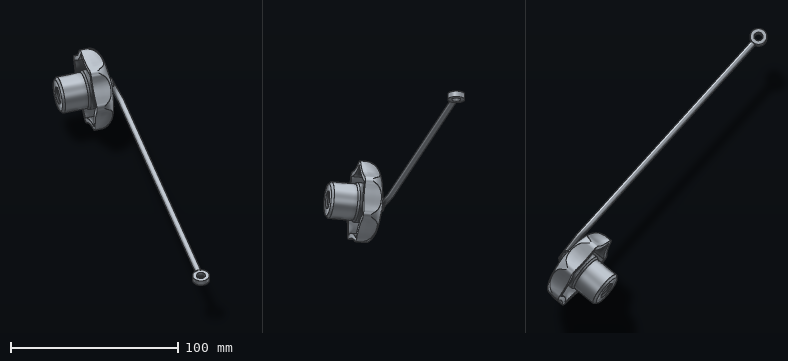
import cadquery as cq
import math

LOBE_COUNT = 7
LOBE_RADIUS = 4.2
LOBE_CENTRE_RADIUS = 20.8
SCALLOP_DEPTH_RADIUS = 21.7
WALL = 3.0
CAVITY_DEPTH = 8.8
DOME_HEIGHT = 15.0
DOME_RADIUS = 63.1
SHOULDER_RADIUS = 8.5

HUB_DIAMETER = 22.0
HUB_ROOT_DIAMETER = 24.0
HUB_LENGTH = 17.3
HUB_ROOT_TAPER = 1.3
HUB_CHAMFER = 1.5
BORE_DIAMETER = 8.5
BORE_MOUTH_DIAMETER = 10.5
BORE_DEPTH = 21.0

TOTAL_LENGTH = 210.5
CORD_DIAMETER = 3.5
EYE_DIAMETER = 10.0
EYE_HOLE_DIAMETER = 5.3
CORD_TOP = 22.7
BEND_X = 15.2
PIN_DIAMETER = 8.0
PIN_TOP = 16.8
CORD_START_X = -3.0
CORD_TILT = 4.5

half_pitch = math.pi / LOBE_COUNT
knob_radius = LOBE_CENTRE_RADIUS + LOBE_RADIUS
scallop_radius = (
    SCALLOP_DEPTH_RADIUS**2 + LOBE_CENTRE_RADIUS**2 - LOBE_RADIUS**2
    - 2 * SCALLOP_DEPTH_RADIUS * LOBE_CENTRE_RADIUS * math.cos(half_pitch)
) / (2 * (LOBE_RADIUS + LOBE_CENTRE_RADIUS * math.cos(half_pitch) - SCALLOP_DEPTH_RADIUS))
scallop_centre_radius = SCALLOP_DEPTH_RADIUS + scallop_radius
widest_lobe_angle = -math.pi / 2 + 2 * half_pitch * round(LOBE_COUNT / 4)
knob_half_width = LOBE_CENTRE_RADIUS * math.cos(widest_lobe_angle) + LOBE_RADIUS
eye_x = TOTAL_LENGTH - knob_half_width - EYE_DIAMETER / 2
cord_y = CORD_TOP - EYE_DIAMETER / 2


def polar(radius, angle):
    return (radius * math.cos(angle), radius * math.sin(angle))


def lobe_angle(index):
    return -math.pi / 2 + 2 * half_pitch * index


def y_cylinder(diameter, start, end):
    """Cylinder on the knob axis between two Y positions."""
    return cq.Workplane("XZ", origin=(0, end, 0)).circle(diameter / 2).extrude(end - start)


def star_outline(plane):
    """Rounded lobes joined by tangent concave scallops."""
    to_tangent = LOBE_RADIUS / (LOBE_RADIUS + scallop_radius)

    def tangent_point(index, side):
        lobe = polar(LOBE_CENTRE_RADIUS, lobe_angle(index))
        scallop = polar(scallop_centre_radius, lobe_angle(index) + side * half_pitch)
        return tuple(a + (b - a) * to_tangent for a, b in zip(lobe, scallop))

    outline = plane.moveTo(*tangent_point(0, -1))
    for i in range(LOBE_COUNT):
        scallop_middle = polar(SCALLOP_DEPTH_RADIUS, lobe_angle(i) + half_pitch)
        outline = outline.threePointArc(polar(knob_radius, lobe_angle(i)), tangent_point(i, 1))
        outline = outline.threePointArc(scallop_middle, tangent_point(i + 1, -1))
    return outline.close()


def cavity_outline(plane):
    """Scallops moved inwards by the wall and meeting in sharp corners."""
    arc_radius = scallop_radius + WALL
    corner_radius = scallop_centre_radius * math.cos(half_pitch) - math.sqrt(
        arc_radius**2 - (scallop_centre_radius * math.sin(half_pitch)) ** 2
    )
    outline = plane.moveTo(*polar(corner_radius, lobe_angle(0)))
    for i in range(LOBE_COUNT):
        outline = outline.threePointArc(
            polar(SCALLOP_DEPTH_RADIUS - WALL, lobe_angle(i) + half_pitch),
            polar(corner_radius, lobe_angle(i + 1)),
        )
    return outline.close()


def domed_blank():
    """Revolved knob with a shallow dome and a rounded shoulder."""
    dome_centre_y = DOME_HEIGHT - DOME_RADIUS
    shoulder_x = knob_radius - SHOULDER_RADIUS
    reach = DOME_RADIUS - SHOULDER_RADIUS
    shoulder_y = dome_centre_y + math.sqrt(reach**2 - shoulder_x**2)
    join_angle = math.asin(shoulder_x / reach)

    def arc_point(x, y, radius, angle):
        return (x + radius * math.sin(angle), y + radius * math.cos(angle))

    shoulder_middle = arc_point(shoulder_x, shoulder_y, SHOULDER_RADIUS, (join_angle + math.pi / 2) / 2)
    return (
        cq.Workplane("XY")
        .lineTo(knob_radius, 0)
        .lineTo(knob_radius, shoulder_y)
        .threePointArc(shoulder_middle, arc_point(0, dome_centre_y, DOME_RADIUS, join_angle))
        .threePointArc(arc_point(0, dome_centre_y, DOME_RADIUS, join_angle / 2), (0, DOME_HEIGHT))
        .close()
        .revolve(360, (0, 0, 0), (0, 1, 0))
    )


def knob_head():
    star = star_outline(cq.Workplane("XZ")).extrude(-DOME_HEIGHT)
    cavity = cavity_outline(cq.Workplane("XZ")).extrude(-CAVITY_DEPTH)
    return domed_blank().intersect(star).cut(cavity)


def hub():
    root = HUB_ROOT_DIAMETER / 2
    radius = HUB_DIAMETER / 2
    return (
        cq.Workplane("XY")
        .moveTo(0, CAVITY_DEPTH)
        .lineTo(root, CAVITY_DEPTH)
        .lineTo(root, 0)
        .lineTo(radius, -HUB_ROOT_TAPER)
        .lineTo(radius, HUB_CHAMFER - HUB_LENGTH)
        .lineTo(radius - HUB_CHAMFER, -HUB_LENGTH)
        .lineTo(0, -HUB_LENGTH)
        .close()
        .revolve(360, (0, 0, 0), (0, 1, 0))
    )


def bore():
    """Blind bore with a 45 degree countersink at its mouth."""
    radius = BORE_DIAMETER / 2
    mouth = BORE_MOUTH_DIAMETER / 2
    return (
        cq.Workplane("XY")
        .moveTo(0, -HUB_LENGTH)
        .lineTo(mouth, -HUB_LENGTH)
        .lineTo(radius, -HUB_LENGTH + mouth - radius)
        .lineTo(radius, -HUB_LENGTH + BORE_DEPTH)
        .lineTo(0, -HUB_LENGTH + BORE_DEPTH)
        .close()
        .revolve(360, (0, 0, 0), (0, 1, 0))
    )


def cord():
    """Cord bent down onto the pin, with a flat eye at its free end."""
    tilt = math.radians(CORD_TILT)
    inner_end = (CORD_START_X, cord_y - (BEND_X - CORD_START_X) * math.tan(tilt))
    path = cq.Workplane("XY").polyline([inner_end, (BEND_X, cord_y), (eye_x, cord_y)])
    start_plane = cq.Plane(
        origin=(*inner_end, 0), xDir=(0, 0, 1), normal=(math.cos(tilt), math.sin(tilt), 0)
    )
    strand = cq.Workplane(start_plane).circle(CORD_DIAMETER / 2).sweep(path, transition="right")
    eye_plane = cq.Workplane("XY", origin=(eye_x, cord_y, 0))
    eye = eye_plane.circle(EYE_DIAMETER / 2).extrude(CORD_DIAMETER / 2, both=True)
    eye_hole = eye_plane.circle(EYE_HOLE_DIAMETER / 2).extrude(CORD_DIAMETER, both=True)
    return strand.union(eye).cut(eye_hole)


pin = y_cylinder(PIN_DIAMETER, CAVITY_DEPTH, PIN_TOP)
result = knob_head().union(hub()).cut(bore()).union(pin).union(cord())